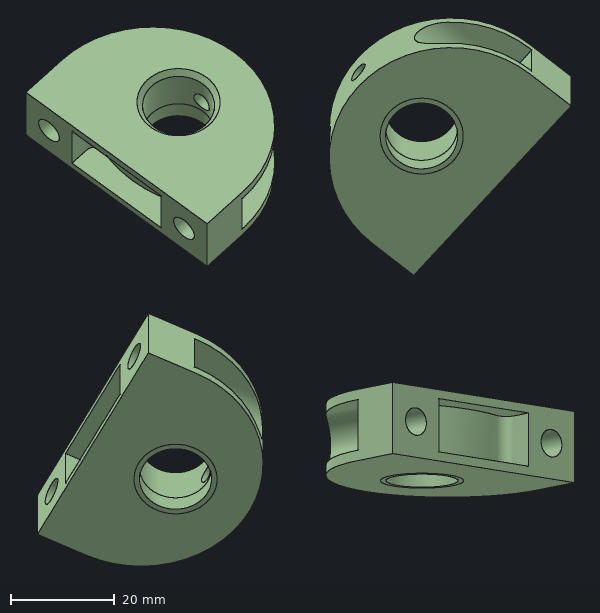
import cadquery as cq
import math

width = 47.0
block_depth = 34.0
height = 14.0
arc_radius = width / 2
arc_center_y = block_depth - arc_radius

bore_y = 17.9
bore_diameter = 13.85
chamfer = 1.1

sleeve_diameter = bore_diameter + 2 * chamfer
sleeve_length = 4.0

oil_hole_diameter = 4.0

bolt_spacing = 34.95
bolt_hole_diameter = 5.35
bolt_recess_diameter = 9.9
bolt_seat_y = 10.0

pocket_width = 23.05
pocket_height = 10.45
pocket_wall_radius = 28.2
pocket_wall_front_y = 4.7
pocket_fillet = 2.05


def cylinder_along_y(diameter, x, start_y, end_y):
    """Cylinder on the mid-height plane, parallel to Y."""
    axis = cq.Vector(0, 1, 0)
    return cq.Workplane(
        cq.Solid.makeCylinder(diameter / 2, end_y - start_y, cq.Vector(x, start_y, 0), axis)
    )


def cylinder_on_bore(diameter, length):
    """Cylinder on the bore axis, rising from the underside."""
    return (
        cq.Workplane("XY", origin=(0, bore_y, -height / 2)).circle(diameter / 2).extrude(length)
    )


def make_block():
    """D-shaped blank."""
    return (
        cq.Workplane()
        .moveTo(-width / 2, 0)
        .lineTo(width / 2, 0)
        .lineTo(width / 2, arc_center_y)
        .threePointArc((0, block_depth), (-width / 2, arc_center_y))
        .close()
        .extrude(height / 2, both=True)
    )


def make_front_pocket():
    """Pocket whose rounded rear corners run tangent into the curved back wall."""
    side_x = pocket_width / 2
    fillet_x = side_x - pocket_fillet
    fillet_distance = pocket_wall_radius + pocket_fillet
    wall_center_y = pocket_wall_front_y + pocket_wall_radius
    fillet_y = wall_center_y - math.sqrt(fillet_distance**2 - fillet_x**2)
    angle = math.atan2(wall_center_y - fillet_y, -fillet_x)
    wall_x = fillet_x + pocket_fillet * math.cos(angle)
    wall_y = fillet_y + pocket_fillet * math.sin(angle)
    middle_x = fillet_x + pocket_fillet * math.cos(angle / 2)
    middle_y = fillet_y + pocket_fillet * math.sin(angle / 2)
    return (
        cq.Workplane()
        .moveTo(-side_x, 0)
        .lineTo(side_x, 0)
        .lineTo(side_x, fillet_y)
        .threePointArc((middle_x, middle_y), (wall_x, wall_y))
        .threePointArc((0, pocket_wall_front_y), (-wall_x, wall_y))
        .threePointArc((-middle_x, middle_y), (-side_x, fillet_y))
        .close()
        .extrude(pocket_height / 2, both=True)
    )


def make_bolt_cut(side):
    """Bolt hole and head recess; side is -1 for left and 1 for right."""
    bolt_x = side * bolt_spacing / 2
    hole = cylinder_along_y(bolt_hole_diameter, bolt_x, 0, block_depth)
    recess = cylinder_along_y(bolt_recess_diameter, bolt_x, bolt_seat_y, block_depth)
    side_opening = cq.Workplane().box(
        width / 2, block_depth - bolt_seat_y, bolt_recess_diameter, centered=(True, False, True)
    ).translate((bolt_x + side * width / 4, bolt_seat_y, 0))
    return hole.union(recess).union(side_opening)


def make_bore_chamfer():
    """Cone that chamfers the top edge of the bore."""
    cone = cq.Solid.makeCone(
        bore_diameter / 2 + chamfer,
        bore_diameter / 2,
        chamfer,
        cq.Vector(0, bore_y, height / 2),
        cq.Vector(0, 0, -1),
    )
    return cq.Workplane(cone)


def make_housing():
    """Block with the bore, sleeve seat, pocket, oil hole and bolt cuts."""
    housing = make_block().cut(cylinder_on_bore(bore_diameter, height)).cut(make_bore_chamfer())
    housing = housing.cut(cylinder_on_bore(sleeve_diameter, sleeve_length))
    housing = housing.cut(make_front_pocket())
    housing = housing.cut(cylinder_along_y(oil_hole_diameter, 0, bore_y, block_depth))
    for side in (-1, 1):
        housing = housing.cut(make_bolt_cut(side))
    return housing


def make_sleeve():
    """Plain ring seated in the lower end of the bore."""
    outside = cylinder_on_bore(sleeve_diameter, sleeve_length)
    return outside.cut(cylinder_on_bore(bore_diameter, sleeve_length))


housing = make_housing()
sleeve = make_sleeve()
result = cq.Compound.makeCompound([housing.val(), sleeve.val()])